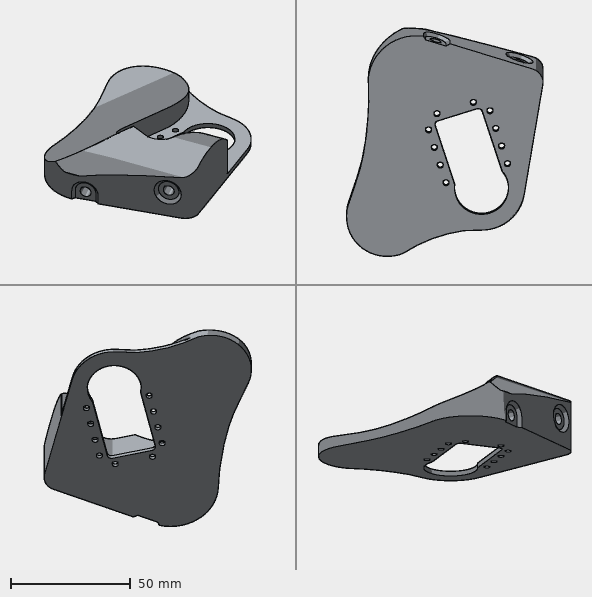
import cadquery as cq
import math

length = 96.3
height = 26.1
plate_thickness = 2.1
far_above = 57.8

heel_radius = 20.1
heel_end_angle = 159
flank_points = [(5.7, 41.7), (8.9, 60.7)]
toe_radius = 17.0
toe_center = (26.0, length - toe_radius)
waist_start = (37.1, 92.2)
waist_middle = (47.2, 82.2)
waist_end = (58.3, 75.3)
ring_center = (59.9, 55.6)
ring_outer_radius = 18.1
ring_opening_radius = 11.3
ring_top_angle = 69
side_tilt = 8.2
corner_radius = 6.3

crest_front = 24.2
crest_back = 27.5
hump_radius = 23.4
shelf_height = 12.6
hump_reach = 23.4
hump_start = 30.8

frame_angle = 54.7
saddle_radius = 63.55
saddle_low_line = -30.8
saddle_low_height = 4.2

frame_middle = 16.85
slot_half_width = 10.3
slot_end = 46.7
slot_corner_radius = 1.8
frame_margin = 6.5
pocket_half_width = slot_half_width + frame_margin
pocket_end = slot_end - frame_margin
pocket_corner_radius = slot_corner_radius + frame_margin
saddle_edge_start = (41.5, 58.9)
saddle_edge_middle = (45.3, 72.6)
saddle_edge_end = (39.4, 89.55)
tip_radius = 4.1
tip_center = (70.6, 34.3)

pin_diameter = 2.5
pin_pitch = 8.0
pin_side_offset = 13.5
pin_first_row = 49.2
pin_rows = 4
pin_end_row = 43.6

screw_diameter = 4.7
seat_diameter = 9.0
seat_rim_diameter = 11.8
seat_depth = 1.4
high_screw = (59.0, 12.0)
low_screw = (22.7, 4.0)
blind_depth = 11.6
drill_point_depth = 1.3


def polar(center, radius, degrees):
    """Point on a circle."""
    angle = math.radians(degrees)
    return center[0] + radius * math.cos(angle), center[1] + radius * math.sin(angle)


def on_frame(across, along):
    """Turn frame coordinates into X and Y."""
    angle = math.radians(frame_angle)
    x = across * math.sin(angle) + along * math.cos(angle)
    y = along * math.sin(angle) - across * math.cos(angle)
    return x, y


def sweep_plane(direction_degrees):
    """Vertical plane whose normal is a horizontal direction; its local X is to the left of it."""
    angle = math.radians(direction_degrees)
    return cq.Plane(
        origin=(0, 0, 0),
        xDir=(-math.sin(angle), math.cos(angle), 0),
        normal=(math.cos(angle), math.sin(angle), 0),
    )


def make_block():
    heel_center = (heel_radius, heel_radius)
    heel_end_tangent = polar((0, 0), 1, heel_end_angle - 90)
    toe_left = (toe_center[0] - toe_radius, toe_center[1])
    side_start = polar(ring_center, ring_outer_radius, -side_tilt)
    side_slope = math.tan(math.radians(side_tilt))
    side_foot = (side_start[0] - side_start[1] * side_slope, 0)
    return (
        cq.Workplane("XY")
        .moveTo(heel_radius, 0)
        .threePointArc(polar(heel_center, heel_radius, 225),
                       polar(heel_center, heel_radius, heel_end_angle))
        .spline(flank_points + [toe_left], tangents=[heel_end_tangent, (0, 1)], includeCurrent=True)
        .threePointArc((toe_center[0], length), waist_start)
        .threePointArc(waist_middle, waist_end)
        .lineTo(*polar(ring_center, ring_outer_radius, ring_top_angle))
        .threePointArc(polar(ring_center, ring_outer_radius, ring_top_angle / 2), side_start)
        .lineTo(*side_foot)
        .close()
        .extrude(height)
        .edges(cq.selectors.NearestToPointSelector((side_foot[0], 0, height / 2)))
        .fillet(corner_radius)
    )


def make_saddle_cut():
    """Everything above the hollow, which runs parallel to the frame."""
    center_height = saddle_low_height + saddle_radius
    return (
        cq.Workplane(sweep_plane(frame_angle))
        .center(-saddle_low_line, center_height)
        .circle(saddle_radius)
        .extrude(2 * length, both=True)
    )


def make_hump_cut(crest, side, start):
    """Space above one rounded flank of the hump; side is -1 for the front, 1 for the rear."""
    center = (crest, height - hump_radius)
    rise = math.degrees(math.asin((shelf_height - center[1]) / hump_radius))
    foot = polar(center, hump_radius, 90 - side * (90 - rise))
    middle = polar(center, hump_radius, 90 - side * 45)
    outer = crest + side * hump_reach
    return (
        cq.Workplane(sweep_plane(-side_tilt))
        .workplane(offset=start)
        .moveTo(crest, height)
        .threePointArc(middle, foot)
        .lineTo(outer, shelf_height)
        .lineTo(outer, far_above)
        .lineTo(crest, far_above)
        .close()
        .extrude(2 * length)
    )


def make_pocket():
    """Clearance above the thin plate: the frame, the ring and the waist."""
    r = pocket_corner_radius
    left = frame_middle - pocket_half_width
    right = frame_middle + pocket_half_width
    corner_left = on_frame(left + r, pocket_end + r)
    corner_right = on_frame(right - r, pocket_end + r)
    return (
        cq.Workplane("XY")
        .workplane(offset=plate_thickness)
        .moveTo(*saddle_edge_start)
        .lineTo(*on_frame(left, pocket_end + r))
        .threePointArc(polar(corner_left, r, frame_angle + 135), on_frame(left + r, pocket_end))
        .lineTo(*on_frame(right - r, pocket_end))
        .threePointArc(polar(corner_right, r, frame_angle - 135), on_frame(right, pocket_end + r))
        .lineTo(*polar(tip_center, tip_radius, frame_angle + 90))
        .threePointArc(polar(tip_center, tip_radius, 70), polar(tip_center, tip_radius, -side_tilt))
        .lineTo(length, tip_center[1])
        .lineTo(length, length)
        .lineTo(saddle_edge_end[0], length)
        .lineTo(*waist_start)
        .lineTo(*saddle_edge_end)
        .threePointArc(saddle_edge_middle, saddle_edge_start)
        .close()
        .extrude(far_above)
    )


def make_servo_opening():
    ring_along = (ring_center[0] * math.cos(math.radians(frame_angle))
                  + ring_center[1] * math.sin(math.radians(frame_angle)))
    slot_length = ring_along - slot_end
    slot = (
        cq.Workplane("XY")
        .rect(slot_length, 2 * slot_half_width)
        .extrude(plate_thickness)
        .edges("|Z and <X")
        .fillet(slot_corner_radius)
        .rotate((0, 0, 0), (0, 0, 1), frame_angle)
        .translate(on_frame(frame_middle, slot_end + slot_length / 2) + (0,))
    )
    ring = cq.Workplane("XY").center(*ring_center).circle(ring_opening_radius).extrude(plate_thickness)
    return slot.union(ring)


def make_pin_holes():
    points = []
    for side in (-1, 1):
        across = frame_middle + side * pin_side_offset
        for row in range(pin_rows):
            points.append(on_frame(across, pin_first_row + row * pin_pitch))
        points.append(on_frame(frame_middle + side * pin_pitch, pin_end_row))
    return cq.Workplane("XY").pushPoints(points).circle(pin_diameter / 2).extrude(plate_thickness)


def cone_seat(screw):
    """Tapered recess for a screw head, entered from the front face."""
    axis = cq.Vector(0, 1, 0)
    origin = cq.Vector(screw[0], 0, screw[1])
    return cq.Workplane(
        cq.Solid.makeCone(seat_rim_diameter / 2, seat_diameter / 2, seat_depth, origin, axis)
    )


def make_high_screw():
    bore = (
        cq.Workplane("XZ")
        .center(*high_screw)
        .circle(screw_diameter / 2)
        .extrude(-length)
    )
    return cone_seat(high_screw).union(bore)


def make_low_screw():
    """Blind screw hole whose seat runs out through the base."""
    x, z = low_screw
    run_out = (
        cq.Workplane("XY")
        .moveTo(x - seat_rim_diameter / 2, 0)
        .lineTo(x + seat_rim_diameter / 2, 0)
        .lineTo(x + seat_diameter / 2, seat_depth)
        .lineTo(x - seat_diameter / 2, seat_depth)
        .close()
        .extrude(z)
    )
    radius = screw_diameter / 2
    bore = (
        cq.Workplane("XY")
        .lineTo(radius, 0)
        .lineTo(radius, blind_depth)
        .lineTo(0, blind_depth + drill_point_depth)
        .close()
        .revolve(360, (0, 0, 0), (0, 1, 0))
        .translate((x, 0, z))
    )
    return cone_seat(low_screw).union(run_out).union(bore)


result = (
    make_block()
    .cut(make_saddle_cut())
    .cut(make_hump_cut(crest_front, -1, -length / 2))
    .cut(make_hump_cut(crest_back, 1, hump_start))
    .cut(make_pocket())
    .cut(make_servo_opening())
    .cut(make_pin_holes())
    .cut(make_high_screw())
    .cut(make_low_screw())
)